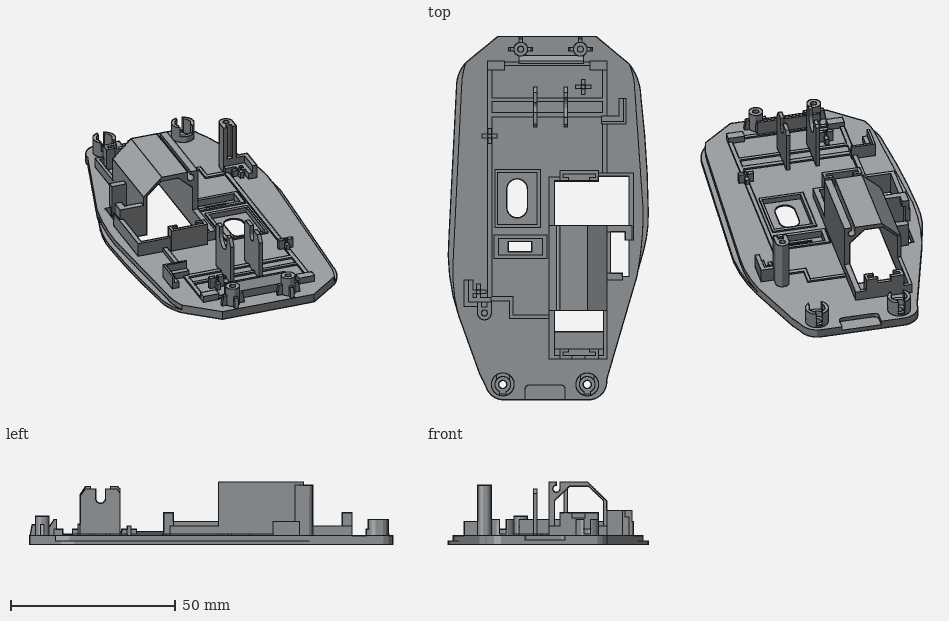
import cadquery as cq
import math

FLANGE_TOP = 1.1
PLATE_TOP = 2.7
RAIL_TOP = PLATE_TOP + 0.5
TALL_RAIL_TOP = 3.95
LOW_PAD_TOP = 4.7
FRAME_TOP = 5.7
SIDE_WALL_TOP = 7.05
SCREW_POST_TOP = 7.7
HOLDER_TOP = 9.7
CLIP_TOP = 10.4
PILLAR_TOP = 18.1
COVER_TOP = 19.1

PLATE_LENGTH = 110.65
FRONT_EDGE = 0.17
BACK_EDGE = FRONT_EDGE + PLATE_LENGTH

RAIL_LEFT = -18.5
RAIL_RIGHT = 17.85
RAIL_WIDTH = 1.35
RAIL_BACK = 103.0

FRAME_LEFT = 0.15
FRAME_INNER_LEFT = 1.9
FRAME_INNER_RIGHT = 16.8
FRAME_RIGHT = RAIL_RIGHT
FRAME_FRONT = 12.6
FRAME_BACK = 68.0
FRAME_END_WALL = 1.05
SIDE_BAY_RIGHT = 25.9
SIDE_BAY_INNER = 24.5
SIDE_BAY_BACK = 69.3
SIDE_BAY_FRONT = 48.85
COVER_FRONT = 27.4
COVER_BACK = 53.3
CLIP_ARM_FRONT = 51.35
CLIP_FRONT_ARM_RIGHT = 22.55
CLIP_FRONT_ARM_BACK = 38.75
HOLDER_LEFT = 3.5
HOLDER_RIGHT = 15.25

BELOW = -1


def box(x0, x1, y0, y1, z0, z1):
    """Axis-aligned block between two corners."""
    return cq.Workplane("XY").box(x1 - x0, y1 - y0, z1 - z0, centered=False).translate((x0, y0, z0))


def wall(x0, x1, y0, y1, top):
    """Block standing on the plate; its foot is sunk into the plate for a clean joint."""
    return box(x0, x1, y0, y1, FLANGE_TOP, top)


def cylinder(x, y, diameter, z0, z1):
    return cq.Workplane("XY", origin=(x, y, z0)).circle(diameter / 2).extrude(z1 - z0)


def profile_along_x(points, x0, x1):
    """Closed (y, z) polygon extruded from x0 to x1."""
    return cq.Workplane("YZ", origin=(x0, 0, 0)).polyline(points).close().extrude(x1 - x0)


def front_arc_middle(start, end):
    """Middle point of the arc from start, where it leaves the front edge tangentially, to end."""
    run, rise = end[0] - start[0], end[1] - start[1]
    radius = (run**2 + rise**2) / (2 * rise)
    half_angle = math.atan2(abs(run), radius - rise) / 2
    middle_run = math.copysign(radius * math.sin(half_angle), run)
    return start[0] + middle_run, start[1] + radius * (1 - math.cos(half_angle))


def base_plate():
    """Wide flange at the bottom, with a slightly narrower plate on top of it."""
    back_left, back_right = (-15.4, BACK_EDGE), (14.6, BACK_EDGE)
    front_left, front_right = (-13.5, FRONT_EDGE), (12.2, FRONT_EDGE)
    shoulder_left, shoulder_right = (-25.1, 102.9), (24.6, 102.5)
    toe_left, toe_right = (-19.1, 4.5), (17.8, 6.4)
    side_left = (-20.85, 7.9)
    toe_left_middle = front_arc_middle(front_left, toe_left)
    toe_right_middle = front_arc_middle(front_right, toe_right)
    merge_left, merge_right = (-27.3, 25.8), (27.0, 37.8)

    flange = (
        cq.Workplane("XY")
        .moveTo(*front_left)
        .lineTo(*front_right)
        .threePointArc(toe_right_middle, toe_right)
        .lineTo(29.0, 45.5)
        .threePointArc((30.17, 51.4), (30.46, 57.5))
        .threePointArc((29.85, 74.2), (28.2, 92.5))
        .threePointArc((27.0, 98.4), shoulder_right)
        .lineTo(*back_right)
        .lineTo(*back_left)
        .lineTo(*shoulder_left)
        .threePointArc((-27.15, 99.7), (-28.0, 95.2))
        .lineTo(-30.24, 50.5)
        .threePointArc((-30.07, 37.8), merge_left)
        .lineTo(*side_left)
        .lineTo(*toe_left)
        .threePointArc(toe_left_middle, front_left)
        .close()
        .extrude(FLANGE_TOP)
    )
    plate = (
        cq.Workplane("XY")
        .moveTo(*front_left)
        .lineTo(*front_right)
        .threePointArc(toe_right_middle, toe_right)
        .lineTo(*merge_right)
        .threePointArc((28.4, 47.5), (28.9, 57.5))
        .lineTo(26.3, 94.7)
        .threePointArc((25.85, 98.7), shoulder_right)
        .lineTo(*back_right)
        .lineTo(*back_left)
        .lineTo(*shoulder_left)
        .threePointArc((-26.0, 99.5), (-26.4, 95.7))
        .lineTo(-29.0, 42.0)
        .threePointArc((-28.8, 33.8), merge_left)
        .lineTo(*side_left)
        .lineTo(*toe_left)
        .threePointArc(toe_left_middle, front_left)
        .close()
        .extrude(PLATE_TOP)
    )
    return flange.union(plate)


def front_recess():
    """Shallow finger recess open at the front edge."""
    left, right, back = -7.1, 5.15, 4.7
    floor, corner_radius = 1.4, 1.3
    return box(left, right, -back, back, floor, PLATE_TOP + 1).edges("|Z").fillet(corner_radius)


def rails():
    """Low rails outlining the compartments; the right one is taller beside the side bay."""
    left_inner = RAIL_LEFT + RAIL_WIDTH
    right_inner = RAIL_RIGHT - RAIL_WIDTH
    tall_front, tall_back = 69.0, 84.5
    thin_width = 1.05
    back_bar_front, front_bar_front = 91.0, 86.3
    step_x = -11.85
    step_front, step_back = 25.0, 31.7
    return [
        wall(RAIL_LEFT, left_inner, step_back - RAIL_WIDTH, RAIL_BACK, RAIL_TOP),
        wall(right_inner, RAIL_RIGHT, tall_back, RAIL_BACK, RAIL_TOP),
        wall(right_inner, RAIL_RIGHT, tall_front, tall_back, TALL_RAIL_TOP),
        wall(RAIL_LEFT, RAIL_RIGHT, RAIL_BACK - thin_width, RAIL_BACK, RAIL_TOP),
        wall(RAIL_LEFT, RAIL_RIGHT, back_bar_front, back_bar_front + thin_width, RAIL_TOP),
        wall(RAIL_LEFT, RAIL_RIGHT, front_bar_front, front_bar_front + RAIL_WIDTH, RAIL_TOP),
        wall(RAIL_LEFT, step_x + thin_width, step_back - RAIL_WIDTH, step_back, RAIL_TOP),
        wall(step_x, step_x + thin_width, step_front, step_back, RAIL_TOP),
        wall(step_x, FRAME_LEFT, step_front, step_front + thin_width, RAIL_TOP),
    ]


def corner_pads():
    """Low blocks on the two back corners of the rails."""
    length, front, back = 5.1, 100.65, 103.3
    return [
        wall(RAIL_LEFT, RAIL_LEFT + length, front, back, LOW_PAD_TOP),
        wall(RAIL_RIGHT - length, RAIL_RIGHT, front, back, LOW_PAD_TOP),
    ]


def cross(x, y, bar_x_top, bar_y_top):
    """Plus-shaped pin support: bars along X and Y of their own heights around a centre hole."""
    half_length, half_thickness = 2.3, 0.58
    pin_hole = 1.27
    body = wall(x - half_length, x + half_length, y - half_thickness, y + half_thickness, bar_x_top)
    body = body.union(
        wall(x - half_thickness, x + half_thickness, y - half_length, y + half_length, bar_y_top)
    )
    return body.cut(cylinder(x, y, pin_hole, RAIL_TOP, SIDE_WALL_TOP))


def crosses():
    return [
        cross(x=-17.85, y=80.5, bar_x_top=FRAME_TOP, bar_y_top=LOW_PAD_TOP),
        cross(x=10.65, y=95.5, bar_x_top=6.2, bar_y_top=LOW_PAD_TOP),
        cross(x=-21.3, y=33.1, bar_x_top=LOW_PAD_TOP, bar_y_top=LOW_PAD_TOP),
    ]


def left_bracket():
    """L-shaped ledge with a taller outer wall, beside the tall pillar."""
    x0, x1, y0, y1 = -25.6, -17.45, 28.65, 36.7
    outer, ledge = 1.35, 2.7
    return [
        wall(x0, x0 + outer, y0, y1, SIDE_WALL_TOP),
        wall(x0, x1, y0, y0 + outer, SIDE_WALL_TOP),
        wall(x0, x0 + ledge, y0, y1, LOW_PAD_TOP),
        wall(x0, x1, y0, y0 + ledge, LOW_PAD_TOP),
    ]


def right_bracket():
    """L-shaped ledge near the back right, with a thinner outer wall."""
    x0, x1, y0, y1 = 16.15, 23.6, 84.25, 92.0
    outer, ledge_x, ledge_y = 0.7, 2.1, 2.4
    return [
        wall(x1 - outer, x1, y0, y1, SIDE_WALL_TOP),
        wall(x0, x1, y0, y0 + outer, SIDE_WALL_TOP),
        wall(x1 - ledge_x, x1, y0, y1, LOW_PAD_TOP),
        wall(x0, x1, y0, y0 + ledge_y, LOW_PAD_TOP),
    ]


BACK_POST_XS = (-8.4, 9.75)
BACK_POST_Y = 106.95
BACK_POST_HOLE = 1.85


def back_post(x):
    """Round post with three tapered fins."""
    y, diameter, top = BACK_POST_Y, 4.2, 8.7
    fin_width, fin_foot_top, fin_top = 1.15, PLATE_TOP + 0.3, 6.05
    fin_foot_reach, fin_top_reach = 3.65, 3.1
    body = cylinder(x, y, diameter, FLANGE_TOP, top)
    fin = (
        cq.Workplane("XZ")
        .polyline([(0, FLANGE_TOP), (fin_foot_reach, FLANGE_TOP), (fin_foot_reach, fin_foot_top),
                   (fin_top_reach, fin_top), (0, fin_top)])
        .close()
        .extrude(fin_width / 2, both=True)
    )
    for angle in (0, 90, 180):
        body = body.union(fin.rotate((0, 0, 0), (0, 0, 1), angle).translate((x, y, 0)))
    return body


def back_stop():
    """Bar between the back posts with a sloping back face."""
    left, right = -8.9, 10.65
    front, ridge, back = 102.6, 103.3, 105.0
    ridge_top, back_top = 7.7, 5.2
    return profile_along_x(
        [(front, FLANGE_TOP), (back, FLANGE_TOP), (back, back_top), (ridge, ridge_top), (front, ridge_top)],
        left,
        right,
    )


UPRIGHT_FRONT = 83.2
UPRIGHT_BACK = 95.4
AXLE_Y = 89.2
UPRIGHT_THICKNESS = 1.15


def upright(x, top, slot_diameter, slot_bottom, back_chamfer, front_chamfer):
    """Upright plate with a round-bottomed open slot; chamfers are (along Y, along Z)."""
    body = profile_along_x(
        [
            (UPRIGHT_FRONT, FLANGE_TOP),
            (UPRIGHT_BACK, FLANGE_TOP),
            (UPRIGHT_BACK, top - back_chamfer[1]),
            (UPRIGHT_BACK - back_chamfer[0], top),
            (UPRIGHT_FRONT + front_chamfer[0], top),
            (UPRIGHT_FRONT, top - front_chamfer[1]),
        ],
        x,
        x + UPRIGHT_THICKNESS,
    )
    radius = slot_diameter / 2
    centre_z = slot_bottom + radius
    slot = (
        cq.Workplane("YZ", origin=(x, 0, 0))
        .moveTo(AXLE_Y - radius, top + 1)
        .lineTo(AXLE_Y - radius, centre_z)
        .threePointArc((AXLE_Y, slot_bottom), (AXLE_Y + radius, centre_z))
        .lineTo(AXLE_Y + radius, top + 1)
        .close()
        .extrude(UPRIGHT_THICKNESS)
    )
    return body.cut(slot)


def uprights():
    left = upright(
        x=-4.55,
        top=17.0,
        slot_diameter=2.9,
        slot_bottom=12.6,
        back_chamfer=(1.6, 2.2),
        front_chamfer=(1.0, 1.4),
    )
    right = upright(
        x=4.75,
        top=17.7,
        slot_diameter=6.0,
        slot_bottom=11.8,
        back_chamfer=(1.6, 2.4),
        front_chamfer=(0.8, 0.8),
    )
    return [left, right]


def frame_walls():
    """Walls around the frame that carries the cover, and around its side bay."""
    end_back = FRAME_BACK - FRAME_END_WALL
    return [
        wall(FRAME_LEFT, FRAME_INNER_LEFT, FRAME_FRONT, FRAME_BACK, FRAME_TOP),
        wall(FRAME_LEFT, HOLDER_LEFT, end_back, FRAME_BACK, FRAME_TOP),
        wall(FRAME_LEFT, FRAME_RIGHT, FRAME_FRONT, FRAME_FRONT + FRAME_END_WALL, FRAME_TOP),
        wall(FRAME_INNER_RIGHT, FRAME_RIGHT, FRAME_FRONT, COVER_BACK, FRAME_TOP),
        wall(HOLDER_RIGHT, SIDE_BAY_RIGHT, SIDE_BAY_BACK - FRAME_END_WALL, SIDE_BAY_BACK, SIDE_WALL_TOP),
        wall(SIDE_BAY_INNER, SIDE_BAY_RIGHT, SIDE_BAY_FRONT, SIDE_BAY_BACK, SIDE_WALL_TOP),
    ]


def contact_holder(outer_y, inner_y):
    """Block with a T-shaped slot for a contact; inner_y is the face towards the frame opening."""
    inward = math.copysign(1, inner_y - outer_y)
    back_wall, slot_depth = 1.05, 1.05
    slot_y = outer_y + inward * back_wall
    neck_y = slot_y + inward * slot_depth

    def span(x0, x1, ya, yb, z0):
        return box(x0, x1, min(ya, yb), max(ya, yb), z0, HOLDER_TOP)

    slot_left, slot_right = 4.4, 14.3
    neck_left, neck_right = 6.2, 12.55
    body = span(HOLDER_LEFT, HOLDER_RIGHT, outer_y, inner_y, FLANGE_TOP)
    body = body.cut(span(slot_left, slot_right, slot_y, neck_y, RAIL_TOP))
    return body.cut(span(neck_left, neck_right, slot_y, inner_y, RAIL_TOP))


def back_holder():
    outer_y, inner_y = 70.0, 67.0
    return contact_holder(outer_y, inner_y)


def front_holder():
    """Contact holder at the front wall, with a notch in its rim and a low sill on both sides."""
    inner_y = 15.65
    notch_left, notch_right, notch_floor = 7.15, 11.2, 8.1
    holder = contact_holder(FRAME_FRONT, inner_y)
    notch = box(notch_left, notch_right, FRAME_FRONT, FRAME_FRONT + FRAME_END_WALL, notch_floor, HOLDER_TOP)
    sill = wall(FRAME_INNER_LEFT, FRAME_INNER_RIGHT, FRAME_FRONT, inner_y, RAIL_TOP)
    return holder.cut(notch).union(sill)


def cover():
    """Arched cover over the frame, with a wire groove along its left top edge."""
    inner_bend_z, outer_bend_z, ceiling = 13.4, 13.3, 17.7
    roof_right, ceiling_left, ceiling_right = 11.9, 6.45, 12.3
    length = COVER_BACK - COVER_FRONT
    shell = (
        cq.Workplane("XZ", origin=(0, COVER_BACK, 0))
        .polyline(
            [
                (FRAME_LEFT, FLANGE_TOP),
                (FRAME_LEFT, COVER_TOP),
                (roof_right, COVER_TOP),
                (FRAME_RIGHT, outer_bend_z),
                (FRAME_RIGHT, FLANGE_TOP),
                (FRAME_INNER_RIGHT, FLANGE_TOP),
                (FRAME_INNER_RIGHT, inner_bend_z),
                (ceiling_right, ceiling),
                (ceiling_left, ceiling),
                (FRAME_INNER_LEFT, inner_bend_z),
                (FRAME_INNER_LEFT, FLANGE_TOP),
            ]
        )
        .close()
        .extrude(length)
    )
    groove_diameter, groove_x, groove_z = 2.1, 2.45, 17.0
    groove_right = groove_x + groove_diameter / 2
    groove = (
        cq.Workplane("XZ", origin=(groove_x, COVER_BACK, groove_z))
        .circle(groove_diameter / 2)
        .extrude(length)
    )
    mouth = box(groove_x, groove_right, COVER_FRONT, COVER_BACK, groove_z, COVER_TOP)
    return shell.cut(groove).cut(mouth)


def side_clip():
    """Two arms beside the cover; the back arm ends in a hook over the side opening."""
    hook_left, hook_right, hook_bottom = 23.4, 25.55, 8.4
    front_arm_front = 36.7
    return [
        wall(FRAME_INNER_RIGHT, CLIP_FRONT_ARM_RIGHT, front_arm_front, CLIP_FRONT_ARM_BACK, CLIP_TOP),
        wall(FRAME_INNER_RIGHT, hook_right, CLIP_ARM_FRONT, COVER_BACK, CLIP_TOP),
        wall(SIDE_BAY_INNER, hook_right, SIDE_BAY_FRONT, CLIP_ARM_FRONT, CLIP_TOP),
        box(hook_left, SIDE_BAY_INNER, SIDE_BAY_FRONT, CLIP_ARM_FRONT, hook_bottom, CLIP_TOP),
    ]


def frame_openings():
    """Through openings below the cover, in the side bay and beside the cover, with an edge relief."""
    opening_front, opening_back = 20.95, 66.7
    side_left, side_front = 19.0, 37.8
    side_back = SIDE_BAY_BACK - FRAME_END_WALL
    relief_top = 1.5
    return [
        box(FRAME_INNER_LEFT, FRAME_INNER_RIGHT, opening_front, opening_back, BELOW, PLATE_TOP),
        box(HOLDER_RIGHT, SIDE_BAY_INNER, COVER_BACK, side_back, BELOW, PLATE_TOP),
        box(side_left, SIDE_BAY_INNER, CLIP_FRONT_ARM_BACK, CLIP_ARM_FRONT, BELOW, PLATE_TOP),
        box(CLIP_FRONT_ARM_RIGHT, SIDE_BAY_INNER, side_front, CLIP_FRONT_ARM_BACK, BELOW, PLATE_TOP),
        box(FRAME_INNER_LEFT, FRAME_INNER_RIGHT, opening_back, SIDE_BAY_BACK, BELOW, relief_top),
    ]


def rimmed_window(rim, pocket, floor):
    """Raised rim, pocket inside it and relief below, leaving a thin floor between the two.

    Rim and pocket are (x0, x1, y0, y1).
    """
    floor_thickness = 0.4
    return wall(*rim, RAIL_TOP), box(*pocket, floor, COVER_TOP), box(*pocket, BELOW, floor - floor_thickness)


def long_slot():
    centre_x, centre_y, length, width = -9.5, 61.55, 11.8, 6.2
    return (
        cq.Workplane("XY", origin=(centre_x, centre_y, BELOW))
        .slot2D(length, width, 90)
        .extrude(PLATE_TOP + 1)
    )


def small_slot():
    left, right, front, back = -12.15, -5.1, 45.3, 48.35
    return box(left, right, front, back, BELOW, PLATE_TOP)


def pillar():
    """Tall pillar, round at the front and flat at the back, with a screw hole and a slot in the flat."""
    x, y, diameter, hole_diameter = -19.45, 26.65, 4.2, 1.85
    flat_y, slot_half_width, slot_depth = 30.0, 0.85, 1.5
    radius = diameter / 2
    body = cylinder(x, y, diameter, FLANGE_TOP, PILLAR_TOP)
    body = body.union(wall(x - radius, x + radius, y, flat_y, PILLAR_TOP))
    body = body.cut(cylinder(x, y, hole_diameter, PLATE_TOP, PILLAR_TOP))
    slot_left, slot_right = x - slot_half_width, x + slot_half_width
    return body.cut(box(slot_left, slot_right, flat_y - slot_depth, flat_y, SIDE_WALL_TOP, PILLAR_TOP))


FRONT_POSTS = [(-13.85, 4.9), (11.85, 4.9)]
FRONT_POST_DIAMETER = 6.95
FRONT_POST_HOLE = 2.4


def front_post(x, y):
    """Open collar: a narrow gap towards the front and a wide one towards the back."""
    bore, front_gap, back_gap = 4.8, 2.0, 4.0
    front_lip_top, front_lip_y = 3.3, y - 2.9
    radius = FRONT_POST_DIAMETER / 2
    body = cylinder(x, y, FRONT_POST_DIAMETER, FLANGE_TOP, SCREW_POST_TOP)
    body = body.cut(cylinder(x, y, bore, PLATE_TOP, SCREW_POST_TOP))
    gap_left, gap_right = x - front_gap / 2, x + front_gap / 2
    body = body.cut(box(gap_left, gap_right, front_lip_y, y, PLATE_TOP, SCREW_POST_TOP))
    body = body.cut(box(gap_left, gap_right, y - radius, y, front_lip_top, SCREW_POST_TOP))
    return body.cut(box(x - back_gap / 2, x + back_gap / 2, y, y + radius, LOW_PAD_TOP, SCREW_POST_TOP))


def build():
    long_rim, long_pocket, long_relief = rimmed_window(
        rim=(-16.2, -2.4, 52.6, 70.3), pocket=(-15.5, -3.4, 53.65, 69.4), floor=1.5
    )
    small_rim, small_pocket, small_relief = rimmed_window(
        rim=(-16.5, -0.4, 43.3, 50.4), pocket=(-15.15, -1.75, 44.3, 49.35), floor=1.0
    )

    solids = rails() + corner_pads() + left_bracket() + right_bracket()
    solids += crosses()
    solids += [back_post(x) for x in BACK_POST_XS] + [back_stop()]
    solids += uprights()
    solids += frame_walls() + [back_holder(), front_holder(), cover()] + side_clip()
    solids += [long_rim, small_rim, pillar()]
    solids += [front_post(x, y) for x, y in FRONT_POSTS]

    cuts = frame_openings() + [front_recess(), long_slot(), small_slot()]
    cuts += [long_pocket, long_relief, small_pocket, small_relief]
    cuts += [cylinder(x, y, FRONT_POST_HOLE, BELOW, PLATE_TOP) for x, y in FRONT_POSTS]
    cuts += [cylinder(x, BACK_POST_Y, BACK_POST_HOLE, PLATE_TOP, COVER_TOP) for x in BACK_POST_XS]

    body = base_plate()
    for solid in solids:
        body = body.union(solid)
    for cut in cuts:
        body = body.cut(cut)
    return body


result = build()